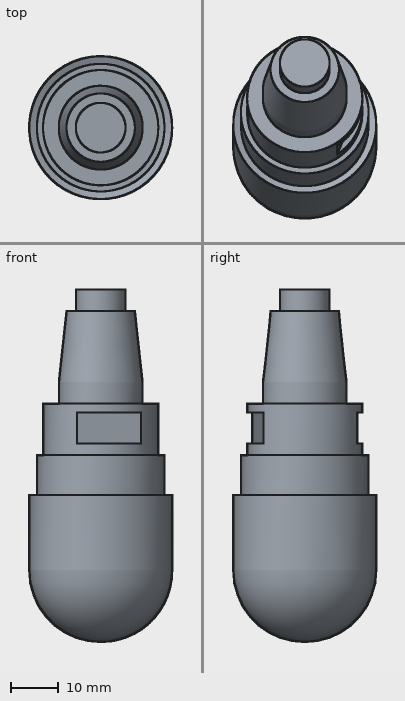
import cadquery as cq
import math

total_height = 74.0
shoulder_height = 69.5
taper_foot_height = 54.5
collar_top = 50.0
sleeve_top = 39.2
bulb_top = 30.85

pin_radius = 10.4 / 2
taper_top_radius = 7.2
neck_radius = 8.8
collar_radius = 24.2 / 2
sleeve_radius = 26.8 / 2
bulb_radius = 30.05 / 2

rim_depth = 0.5
seat_height = bulb_top - rim_depth

flat_distance = 10.0
flat_bottom = 41.65
flat_top = 48.1
flat_angle = 10.0


def make_bulb():
    """Solid of revolution: hemisphere, straight wall, dished rim and flat seat."""
    arc_reach = bulb_radius * math.sqrt(0.5)
    return (
        cq.Workplane("XZ")
        .moveTo(0, 0)
        .threePointArc((arc_reach, bulb_radius - arc_reach), (bulb_radius, bulb_radius))
        .lineTo(bulb_radius, bulb_top)
        .lineTo(sleeve_radius, seat_height)
        .lineTo(0, seat_height)
        .close()
        .revolve(360, (0, 0, 0), (0, 1, 0))
    )


def make_flat_cutters():
    """Two blocks that leave parallel flats at flat_distance from the axis."""
    height = flat_top - flat_bottom
    block_depth = collar_radius
    block_width = 2 * collar_radius
    block_center = flat_distance + block_depth / 2
    return (
        cq.Workplane("XY")
        .workplane(offset=flat_bottom)
        .pushPoints([(0, -block_center), (0, block_center)])
        .rect(block_width, block_depth)
        .extrude(height)
        .rotate((0, 0, 0), (0, 0, 1), flat_angle)
    )


def make_stem():
    """Stepped stem standing on the seat of the bulb, with flats on its collar."""
    turned = (
        cq.Workplane("XZ")
        .moveTo(0, seat_height)
        .lineTo(sleeve_radius, seat_height)
        .lineTo(sleeve_radius, sleeve_top)
        .lineTo(collar_radius, sleeve_top)
        .lineTo(collar_radius, collar_top)
        .lineTo(neck_radius, collar_top)
        .lineTo(neck_radius, taper_foot_height)
        .lineTo(taper_top_radius, shoulder_height)
        .lineTo(pin_radius, shoulder_height)
        .lineTo(pin_radius, total_height)
        .lineTo(0, total_height)
        .close()
        .revolve(360, (0, 0, 0), (0, 1, 0))
    )
    return turned.cut(make_flat_cutters())


bulb = make_bulb()
stem = make_stem()

result = cq.Compound.makeCompound([bulb.val(), stem.val()])